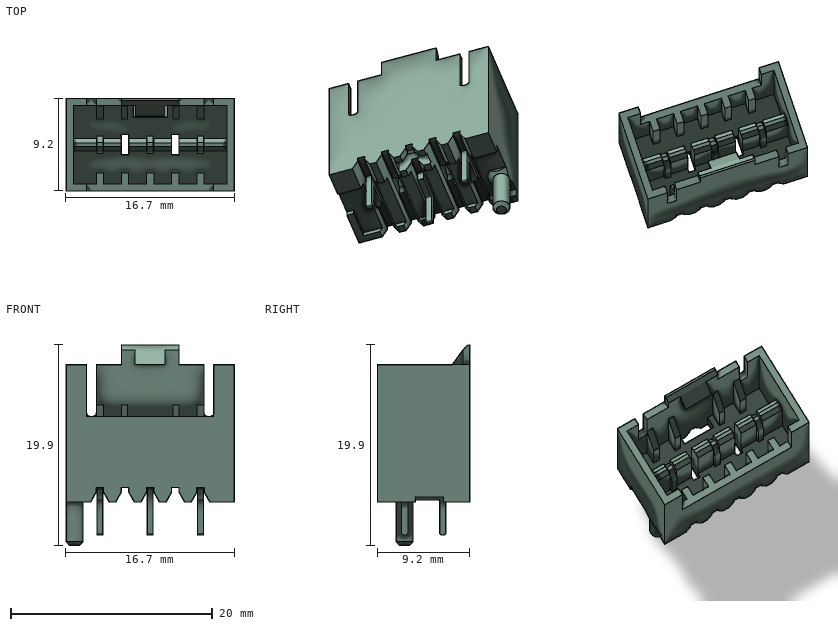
import cadquery as cq

LENGTH = 16.7
WIDTH = 9.2
HEIGHT = 13.65
WALL = 0.72
FLOOR_BOTTOM = 1.43
FLOOR_TOP = 2.39
HALF_X = LENGTH / 2
HALF_Y = WIDTH / 2
BACK_INNER = HALF_Y - WALL
FRONT_INNER = -BACK_INNER
INNER_HALF_X = HALF_X - WALL

CONTACT_SPACING = 5.0
PITCH = CONTACT_SPACING / 2
POSITIONS = [-2 * PITCH, -PITCH, 0, PITCH, 2 * PITCH]
EMPTY_POSITIONS = POSITIONS[1::2]
SLOT_WIDTH = 0.72
SLOT_HALF_LENGTH = 1.0

OPENING_HALF_WIDTH = 6.3
OPENING_FLOOR = 8.52
LATCH_HALF_WIDTH = 5.35
SLIT_RADIUS = 0.35

TAB_HALF_WIDTH = 2.87
TAB_TOP = 15.6
TAB_BEVEL = 0.5
HOOK_WIDTH = 2.98
HOOK_REACH = 1.05
HOOK_HOLE_WIDTH = 3.36
HOOK_HOLE_DEPTH = 1.15

BACK_RIB_TOP = 9.63
BACK_RIB_KINK = 6.63
BACK_RIB_REACH = 1.31
OUTER_RIB_WIDTH = 0.7
INNER_RIB_WIDTH = 0.62
FRONT_RIB_REACH = 1.07

RIDGE_HALF_WIDTH = 0.62
RIDGE_TOP = 8.22
RIDGE_CHAMFER = 0.44

NOTCH_HALF_WIDTH = 0.92
NOTCH_TAPER_TOP = 1.0
UNDER_BACK = 1.99
POCKET_FRONT = -0.84
POCKET_TOP = 0.5
RECESS_FRONT = -3.86
RECESS_TOP = 1.0
RECESS_INNER_X = -5.63

CONTACT_WIDTH = 0.6
BLADE_ROOT_HALF = 0.88
BLADE_ROOT_TOP = 5.97
BLADE_HALF = 0.75
BLADE_SHOULDER = 6.4
BLADE_TIP_HALF = 0.2
BLADE_TOP = 7.5
BAR_BOTTOM = 0.2
BAR_TOP = 1.3
PIN_OUTER = 2.2
PIN_INNER = 1.57
PIN_BOTTOM = -3.26
PIN_TIP_RADIUS = 0.24
PIN_BEND_RADIUS = 0.1

POST_DIAMETER = 1.7
POST_RADIUS = POST_DIAMETER / 2
POST_Y = -1.9
TOTAL_HEIGHT = 19.9
POST_BOTTOM = TAB_TOP - TOTAL_HEIGHT
POST_TIP_RADIUS = 0.5
POST_TIP_HEIGHT = 0.4
COLLAR_BOTTOM = 0.44
COLLAR_RADIUS = 1.33
SEAM_ANGLE = 45


def block(x0, x1, y0, y1, z0, z1):
    """Box between two opposite corners."""
    return cq.Workplane("XY").box(x1 - x0, y1 - y0, z1 - z0, centered=False).translate((x0, y0, z0))


def side_profile(points, x_middle, width):
    """(Y, Z) outline extruded along X, centred on x_middle."""
    solid = cq.Workplane("YZ").polyline(points).close().extrude(width / 2, both=True)
    return solid.translate((x_middle, 0, 0))


def shell():
    body = block(-HALF_X, HALF_X, -HALF_Y, HALF_Y, 0, HEIGHT)
    body = body.cut(block(-INNER_HALF_X, INNER_HALF_X, FRONT_INNER, BACK_INNER, FLOOR_TOP, HEIGHT))
    opening = block(-OPENING_HALF_WIDTH, OPENING_HALF_WIDTH, -HALF_Y, FRONT_INNER, OPENING_FLOOR, HEIGHT)
    body = body.cut(opening)
    for x0, x1 in [(-OPENING_HALF_WIDTH, -LATCH_HALF_WIDTH), (LATCH_HALF_WIDTH, OPENING_HALF_WIDTH)]:
        slit = block(x0, x1, BACK_INNER, HALF_Y, OPENING_FLOOR, HEIGHT)
        body = body.cut(slit.edges("|Y and <Z").fillet(SLIT_RADIUS))
    return body


def latch():
    bevel_bottom = TAB_TOP - TAB_BEVEL
    tab = side_profile(
        [
            (HALF_Y, HEIGHT - WALL),
            (HALF_Y, TAB_TOP),
            (BACK_INNER + TAB_BEVEL, TAB_TOP),
            (BACK_INNER, bevel_bottom),
            (BACK_INNER, HEIGHT - WALL),
        ],
        0,
        2 * TAB_HALF_WIDTH,
    )
    hook = side_profile(
        [
            (HALF_Y, bevel_bottom),
            (BACK_INNER, bevel_bottom),
            (BACK_INNER - HOOK_REACH, HEIGHT),
            (HALF_Y, HEIGHT),
        ],
        0,
        HOOK_WIDTH,
    )
    return tab.union(hook)


def back_rib(outer_x, width):
    """Sloped rib on the back wall; outer_x is the side away from the middle."""
    middle = outer_x - width / 2 if outer_x > 0 else outer_x + width / 2
    reach_y = BACK_INNER - BACK_RIB_REACH
    return side_profile(
        [
            (HALF_Y, FLOOR_BOTTOM),
            (HALF_Y, BACK_RIB_TOP),
            (BACK_INNER, BACK_RIB_TOP),
            (reach_y, BACK_RIB_KINK),
            (reach_y, FLOOR_BOTTOM),
        ],
        middle,
        width,
    )


def front_rib(x):
    half = SLOT_WIDTH / 2
    return block(x - half, x + half, -HALF_Y, FRONT_INNER + FRONT_RIB_REACH, FLOOR_BOTTOM, OPENING_FLOOR)


def ridge():
    bar = block(-HALF_X, HALF_X, -RIDGE_HALF_WIDTH, RIDGE_HALF_WIDTH, FLOOR_BOTTOM, RIDGE_TOP)
    return bar.edges("|X and >Z").chamfer(RIDGE_CHAMFER)


def ridge_slot(x):
    """Gap in the ridge; it runs through the floor where no contact stands."""
    bottom = 0 if x in EMPTY_POSITIONS else FLOOR_TOP
    half = SLOT_WIDTH / 2
    return block(x - half, x + half, -SLOT_HALF_LENGTH, SLOT_HALF_LENGTH, bottom, RIDGE_TOP)


def bottom_notch(x):
    """Groove across the base that flares toward the underside."""
    half = SLOT_WIDTH / 2
    outline = [
        (x - NOTCH_HALF_WIDTH, 0),
        (x - half, NOTCH_TAPER_TOP),
        (x - half, FLOOR_BOTTOM),
        (x + half, FLOOR_BOTTOM),
        (x + half, NOTCH_TAPER_TOP),
        (x + NOTCH_HALF_WIDTH, 0),
    ]
    return cq.Workplane("XZ").polyline(outline).close().extrude(HALF_Y, both=True)


def contact(x, side):
    """Blade, bar and bent pin; the pin is toward +Y for side 1 and -Y for side -1."""
    blade = side_profile(
        [
            (-BLADE_ROOT_HALF, BAR_BOTTOM),
            (-BLADE_ROOT_HALF, BLADE_ROOT_TOP),
            (-BLADE_HALF, BLADE_SHOULDER),
            (-BLADE_TIP_HALF, BLADE_TOP),
            (BLADE_TIP_HALF, BLADE_TOP),
            (BLADE_HALF, BLADE_SHOULDER),
            (BLADE_ROOT_HALF, BLADE_ROOT_TOP),
            (BLADE_ROOT_HALF, BAR_BOTTOM),
        ],
        x,
        CONTACT_WIDTH,
    )
    bent_pin = side_profile(
        [
            (-SLOT_HALF_LENGTH * side, BAR_BOTTOM),
            (-SLOT_HALF_LENGTH * side, BAR_TOP),
            (PIN_OUTER * side, BAR_TOP),
            (PIN_OUTER * side, PIN_BOTTOM),
            (PIN_INNER * side, PIN_BOTTOM),
            (PIN_INNER * side, BAR_BOTTOM),
        ],
        x,
        CONTACT_WIDTH,
    )
    bent_pin = bent_pin.edges("|X and <Z").fillet(PIN_TIP_RADIUS)
    bend = cq.selectors.NearestToPointSelector((x, PIN_INNER * side, BAR_BOTTOM))
    bent_pin = bent_pin.edges("|X").edges(bend).fillet(PIN_BEND_RADIUS)
    return blade.union(bent_pin)


def post():
    """Locating post with a chamfered tip and a flared collar, flush with the -X side."""
    outline = [
        (0, POST_BOTTOM),
        (POST_TIP_RADIUS, POST_BOTTOM),
        (POST_RADIUS, POST_BOTTOM + POST_TIP_HEIGHT),
        (POST_RADIUS, COLLAR_BOTTOM),
        (COLLAR_RADIUS, RECESS_TOP),
        (0, RECESS_TOP),
    ]
    turned = cq.Workplane("XZ").polyline(outline).close().revolve(360, (0, 0), (0, 1))
    turned = turned.rotate((0, 0, 0), (0, 0, 1), SEAM_ANGLE).translate((POST_RADIUS - HALF_X, POST_Y, 0))
    recess_column = block(-HALF_X, RECESS_INNER_X, -HALF_Y, POCKET_FRONT, POST_BOTTOM, HEIGHT)
    return turned.intersect(recess_column)


result = shell().union(latch()).union(ridge())
for sign in (-1, 1):
    result = result.union(back_rib(sign * LATCH_HALF_WIDTH, OUTER_RIB_WIDTH))
    result = result.union(back_rib(sign * TAB_HALF_WIDTH, INNER_RIB_WIDTH))

for position in POSITIONS:
    result = result.union(front_rib(position))
    result = result.cut(ridge_slot(position)).cut(bottom_notch(position))

result = result.cut(
    block(
        -HOOK_HOLE_WIDTH / 2,
        HOOK_HOLE_WIDTH / 2,
        BACK_INNER - HOOK_HOLE_DEPTH,
        BACK_INNER,
        0,
        FLOOR_TOP,
    )
)

result = result.cut(block(-HALF_X, INNER_HALF_X, RECESS_FRONT, UNDER_BACK, 0, POCKET_TOP))
result = result.cut(block(-HALF_X, HALF_X, POCKET_FRONT, UNDER_BACK, 0, POCKET_TOP))
result = result.cut(block(-HALF_X, RECESS_INNER_X, RECESS_FRONT, UNDER_BACK, 0, RECESS_TOP))

for position, pin_side in zip(POSITIONS[::2], [1, -1, 1]):
    result = result.union(contact(position, pin_side))

result = result.union(post())